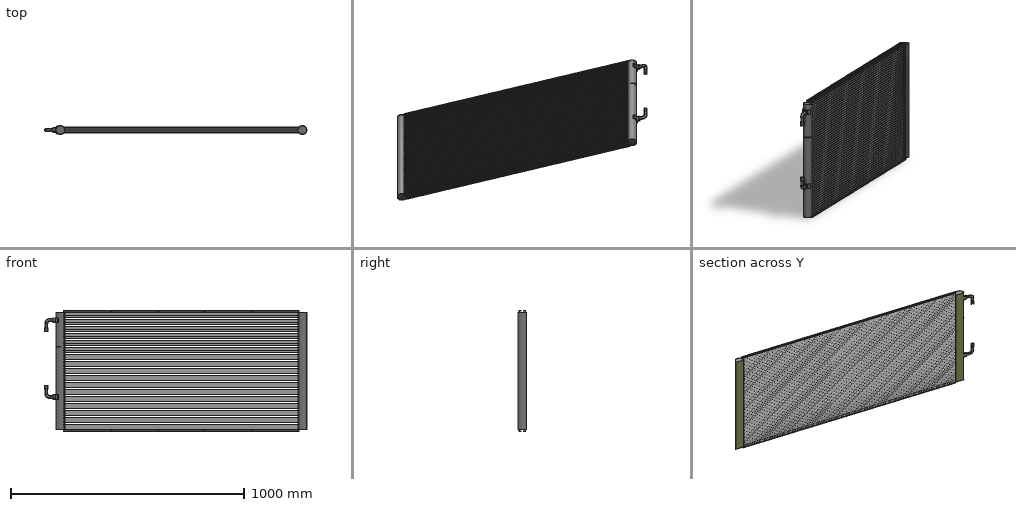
import cadquery as cq

overall_length = 1123.0
overall_height = 518.0

header_diameter = 38.0
header_height = 503.0
header_spacing = 1037.0
header_radius = header_diameter / 2
header_x = header_spacing / 2

tube_count = 49
tube_pitch = 10.0
tube_thickness = 1.9
core_depth = 26.0

rail_height = 10.0
rail_wall = 1.7
rail_slot_width = 9.0
rail_hole_diameter = 3.1
rail_hole_count = 4
rail_hole_pitch = 200.0

baffle_row = 10.5
baffle_z = baffle_row * tube_pitch
baffle_slit_height = 2.0
baffle_slit_depth = 1.0

inlet_z = 218.0
outlet_z = -111.0
saddle_width = 36.0
saddle_back = 21.0
saddle_front = 9.0
saddle_chamfer = 8.0
saddle_height = 20.0
collar_diameter = 20.0
collar_reach = 33.0
stub_diameter = 12.0
pipe_diameter = 11.0
bend_radius = 13.0
cap_diameter = 15.0
cap_length = 16.0
bore_diameter = 10.0
fitting_drop = 49.0
pipe_offset = overall_length - header_spacing - header_radius - cap_diameter / 2


def upright_cylinder(x, radius, height):
    return cq.Workplane("XY").center(x, 0).circle(radius).extrude(height / 2, both=True)


def make_header(x):
    return upright_cylinder(x, header_radius, header_height)


def make_tubes():
    return (
        cq.Workplane("YZ")
        .rarray(11, tube_pitch, 1, tube_count)
        .rect(core_depth, tube_thickness)
        .extrude(header_spacing / 2, both=True)
    )


def make_rail():
    """Upper rail: a channel with inward lips along its top, fitted round the headers."""
    top = overall_height / 2
    middle = top - rail_height / 2
    rail = cq.Workplane("XY").box(header_spacing, core_depth, rail_height)
    cavity = cq.Workplane("XY").box(
        header_spacing, core_depth - 2 * rail_wall, rail_height - 2 * rail_wall
    )
    slot = cq.Workplane("XY").box(header_spacing, rail_slot_width, rail_height).translate((0, 0, rail_wall))
    rail = rail.cut(cavity).cut(slot)
    holes = (
        cq.Workplane("XZ")
        .rarray(rail_hole_pitch, 11, rail_hole_count, 1)
        .circle(rail_hole_diameter / 2)
        .extrude(core_depth, both=True)
    )
    rail = rail.cut(holes).translate((0, 0, middle))
    for x in (-header_x, header_x):
        rail = rail.cut(upright_cylinder(x, header_radius, overall_height))
    return rail


def make_baffle_slit():
    """Half ring removed from the outer half of the left header."""
    ring = (
        cq.Workplane("XY")
        .circle(header_radius)
        .circle(header_radius - baffle_slit_depth)
        .extrude(baffle_slit_height / 2, both=True)
    )
    outer_half = cq.Workplane("XY").box(header_diameter, 2 * header_diameter, header_diameter)
    half_ring = ring.intersect(outer_half.translate((-header_radius, 0, 0)))
    return half_ring.translate((-header_x, 0, baffle_z))


def make_fitting():
    """Pipe connection turning down, with the header axis and the stub axis through the origin."""
    saddle_depth = saddle_back - saddle_front
    saddle = (
        cq.Workplane("XY")
        .box(saddle_depth, saddle_width, saddle_height)
        .edges("<X and |Z")
        .chamfer(saddle_chamfer)
        .translate((-saddle_front - saddle_depth / 2, 0, 0))
    )
    bend_start_x = bend_radius - pipe_offset
    collar = cq.Workplane("YZ").circle(collar_diameter / 2).extrude(-collar_reach)
    stub = cq.Workplane("YZ").circle(stub_diameter / 2).extrude(bend_start_x)
    bend = (
        cq.Workplane("YZ", origin=(bend_start_x, 0, 0))
        .circle(stub_diameter / 2)
        .revolve(90, (0, -bend_radius, 0), (-1, -bend_radius, 0))
    )
    pipe = (
        cq.Workplane("XY", origin=(-pipe_offset, 0, -fitting_drop))
        .circle(pipe_diameter / 2)
        .extrude(fitting_drop - bend_radius)
    )
    cap = (
        cq.Workplane("XY", origin=(-pipe_offset, 0, -fitting_drop))
        .circle(cap_diameter / 2)
        .extrude(cap_length)
    )
    bore = (
        cq.Workplane("XY", origin=(-pipe_offset, 0, -fitting_drop))
        .circle(bore_diameter / 2)
        .extrude(cap_length)
    )
    return saddle.union(collar).union(stub).union(bend).union(pipe).union(cap).cut(bore)


left_header = make_header(-header_x).cut(make_baffle_slit())
fitting = make_fitting()
inlet = fitting.translate((-header_x, 0, inlet_z))
outlet = fitting.mirror("XY").translate((-header_x, 0, outlet_z))
upper_rail = make_rail()

result = left_header.union(make_header(header_x)).union(inlet).union(outlet)
result = result.union(upper_rail).union(upper_rail.mirror("XY"))
result = result.union(make_tubes())